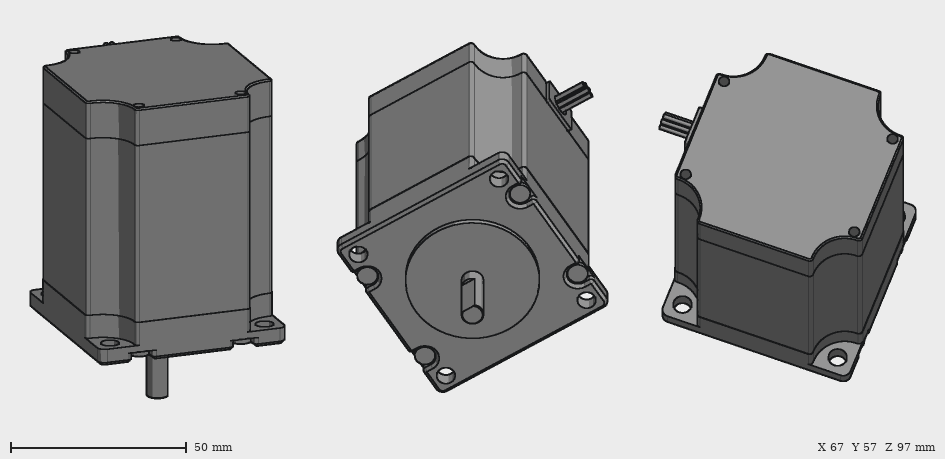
import cadquery as cq
import math


width = 57.0
half_width = width / 2
body_height = 75.95
seam_height = 11.8
cap_height = 11.1
cap_base = body_height - cap_height
housing_inset = 0.1
housing_width = width - 2 * housing_inset

scallop_reach = 11.0
scallop_radius = 9.5
scallop_edge_fillet = 1.1
cap_chamfer = 0.5

plate_thickness = 4.9
plate_corner_radius = 2.2
plate_chamfer = 1.0
mount_hole_offset = 23.6
mount_hole_diameter = 5.2
pilot_diameter = 38.1
pilot_height = 1.8

shaft_diameter = 6.3
overall_height = 97
shaft_projection = overall_height - body_height
flat_offset = 2.3
flat_length = 15.0
shaft_chamfer = 0.3

screw_x = 25.6
screw_y = 15.5
screw_hole_diameter = 3.0
screw_head_diameter = 5.8
screw_head_height = 1.5
pocket_width = 6.2
pocket_depth = 2.9
pocket_mouth_fillet = 1.1

grommet_width = 12.0
grommet_height = 10.5
grommet_projection = 1.0
grommet_insertion = 2.9
grommet_corner_radius = 0.6
grommet_face_x = -half_width - grommet_projection
grommet_center_z = cap_base + grommet_height / 2
grommet_hole_radius = 3.0
grommet_hole_depth = 2.9
wire_count = 4
wire_radius = 0.7
wire_circle_radius = 2.2
wire_spacing = 180 / wire_count
overall_length = 67.0
wire_tip_x = half_width - overall_length

corners = [(x, y) for x in (-1, 1) for y in (-1, 1)]
screw_points = [(x * screw_x, y * screw_y) for x, y in corners]


def housing_section(bottom, height, side=width):
    """Square prism with a rounded scallop along each corner."""
    center = half_width - scallop_reach + scallop_radius
    prism = cq.Workplane().box(side, side, height, (True, True, False))
    scallops = (
        cq.Workplane()
        .pushPoints([(x * center, y * center) for x, y in corners])
        .circle(scallop_radius)
        .extrude(height)
    )
    corner_blocks = (
        cq.Workplane()
        .pushPoints([(x * half_width, y * half_width) for x, y in corners])
        .rect(2 * (half_width - center), 2 * (half_width - center))
        .extrude(height)
    )
    section = prism.cut(scallops).cut(corner_blocks)
    section = section.edges("|Z").fillet(scallop_edge_fillet)
    return section.translate((0, 0, bottom))


def screw_pocket():
    """Slot for one screw head at +X, open to the side with a rounded mouth."""
    slot_length = half_width - screw_x
    slot = (
        cq.Workplane()
        .center(slot_length / 2, 0)
        .rect(slot_length, pocket_width)
        .extrude(pocket_depth)
        .union(cq.Workplane().circle(pocket_width / 2).extrude(pocket_depth))
    )
    mouth_half = pocket_width / 2 + pocket_mouth_fillet
    flare_start = slot_length - pocket_mouth_fillet
    flare = (
        cq.Workplane()
        .moveTo(flare_start, -pocket_width / 2)
        .radiusArc((slot_length, -mouth_half), pocket_mouth_fillet)
        .lineTo(slot_length, mouth_half)
        .radiusArc((flare_start, pocket_width / 2), pocket_mouth_fillet)
        .close()
        .extrude(pocket_depth)
    )
    return slot.union(flare)


def screw_head():
    """Head standing in a pocket, its top on the pocket ceiling."""
    return (
        cq.Workplane()
        .circle(screw_head_diameter / 2)
        .extrude(screw_head_height)
        .translate((0, 0, pocket_depth - screw_head_height))
    )


def make_flange():
    plate = (
        cq.Workplane()
        .box(width, width, plate_thickness, (True, True, False))
        .edges("|Z")
        .fillet(plate_corner_radius)
    )
    heads = []
    for x, y in screw_points:
        turn = 0 if x > 0 else 180
        place = cq.Location(cq.Vector(x, y, 0), cq.Vector(0, 0, 1), turn)
        plate = plate.cut(cq.Workplane(screw_pocket().val().moved(place)))
        heads.append(screw_head().val().moved(place))
    plate = plate.faces("<Z").chamfer(plate_chamfer)
    mount_holes = (
        cq.Workplane()
        .pushPoints([(x * mount_hole_offset, y * mount_hole_offset) for x, y in corners])
        .circle(mount_hole_diameter / 2)
        .extrude(plate_thickness)
    )
    upper = housing_section(plate_thickness, seam_height - plate_thickness)
    pilot = cq.Workplane().circle(pilot_diameter / 2).extrude(-pilot_height)
    flange = plate.cut(mount_holes).union(upper).union(pilot)
    for head in heads:
        flange = flange.union(cq.Workplane(head))
    bore = (
        cq.Workplane()
        .workplane(offset=-pilot_height)
        .circle(shaft_diameter / 2)
        .extrude(pilot_height + seam_height)
    )
    return flange.cut(bore)


def make_stator():
    return housing_section(seam_height, cap_base - seam_height, housing_width)


def make_cap():
    cap = housing_section(cap_base, cap_height, housing_width).faces(">Z").chamfer(cap_chamfer)
    screw_holes = (
        cq.Workplane()
        .workplane(offset=cap_base)
        .pushPoints(screw_points)
        .circle(screw_hole_diameter / 2)
        .extrude(cap_height)
    )
    return cap.cut(screw_holes).cut(grommet_block())


def make_shaft():
    shaft = (
        cq.Workplane()
        .workplane(offset=-shaft_projection)
        .circle(shaft_diameter / 2)
        .extrude(shaft_projection + seam_height)
        .faces("<Z")
        .chamfer(shaft_chamfer)
    )
    flat_cut = (
        cq.Workplane()
        .box(shaft_diameter, shaft_diameter, flat_length, (True, False, False))
        .translate((0, flat_offset, -shaft_projection))
    )
    return shaft.cut(flat_cut)


def grommet_block():
    """Rounded block set into the cap's -X side, standing a little proud of it."""
    thickness = grommet_projection + grommet_insertion
    return (
        cq.Workplane()
        .box(thickness, grommet_width, grommet_height)
        .edges("|X")
        .fillet(grommet_corner_radius)
        .translate((grommet_face_x + thickness / 2, 0, grommet_center_z))
    )


def make_grommet():
    """Grommet with the lead wires rising from the floor of its hole."""
    floor_x = grommet_face_x + grommet_hole_depth
    floor = cq.Workplane("YZ", origin=(floor_x, 0, grommet_center_z))
    grommet = grommet_block().cut(floor.circle(grommet_hole_radius).extrude(-grommet_hole_depth))
    for index in range(wire_count):
        angle = math.radians((index + 0.5) * wire_spacing)
        wire = (
            floor.center(wire_circle_radius * math.cos(angle), wire_circle_radius * math.sin(angle))
            .circle(wire_radius)
            .extrude(wire_tip_x - floor_x)
        )
        grommet = grommet.union(wire)
    return grommet


flange = make_flange()
stator = make_stator()
cap = make_cap()
shaft = make_shaft()
grommet = make_grommet()

result = cq.Compound.makeCompound(
    [flange.val(), stator.val(), cap.val(), shaft.val(), grommet.val()]
)